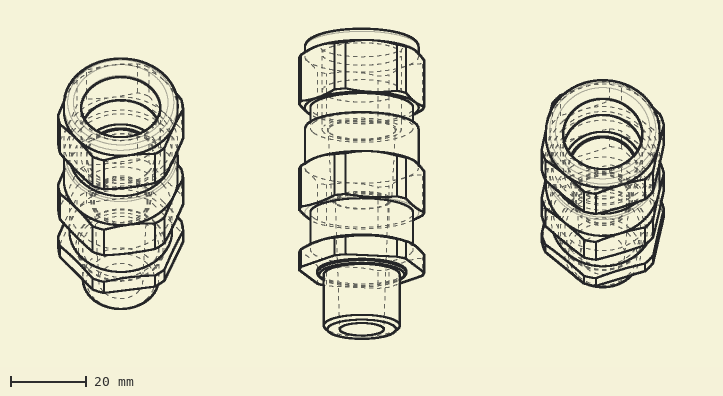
import cadquery as cq
import math

total_height = 78.4
across_flats = 30.0
across_corners = 33.0
flat_radius = across_flats / 2
corner_radius = across_corners / 2
corner_angle = 30
chamfer_angle = 30

thread_top = 15.0
body_hex_bottom = 15.9
body_hex_top = 22.0
middle_hex_bottom = 32.0
middle_hex_top = 44.5
sleeve_top = 55.35
cap_hex_bottom = 60.8
cap_hex_top = 75.0

thread_radius = 10.0
thread_chamfer = 1.0
washer_radius = 11.75
washer_chamfer = 0.55
neck_radius = 13.6
sleeve_edge_round = 0.5
cap_edge_round = 1.0

cap_bottom_chamfer_height = 0.6
middle_bottom_chamfer_height = 0.5
body_top_chamfer_drop = 1.25

bore_radius = 10.4
mouth_round = 2.0
ledge_height = 54.9
seat_height = 35.3
liner_top_radius = 8.85
liner_bottom_radius = 7.9
passage_top_radius = 7.0
passage_bottom_radius = 5.8
edge_chamfer = 0.2

joint_height = 65.5
lip_height = 75.6
bore_relief = 0.1


def cylinder(radius, bottom, top):
    """Upright cylinder on the axis between two levels."""
    return cq.Workplane("XY").workplane(offset=bottom).circle(radius).extrude(top - bottom)


def hexagon(bottom, top, bottom_start_radius, bottom_rise, top_start_radius, top_drop):
    """Hexagon with two corners on the Y axis, rounded to the corner circle.

    Each end cone begins at its start radius on the end face and meets the corner
    circle after its rise or drop; a zero rise leaves the bottom edge sharp.
    """
    prism = (
        cq.Workplane("XY")
        .workplane(offset=bottom)
        .polygon(6, across_flats / math.cos(math.radians(corner_angle)))
        .extrude(top - bottom)
        .rotate((0, 0, 0), (0, 0, 1), corner_angle)
    )
    envelope = cq.Workplane("XZ").moveTo(0, bottom).lineTo(bottom_start_radius, bottom)
    if bottom_rise > 0:
        envelope = envelope.lineTo(corner_radius, bottom + bottom_rise)
    envelope = (
        envelope.lineTo(corner_radius, top - top_drop)
        .lineTo(top_start_radius, top)
        .lineTo(0, top)
        .close()
        .revolve()
    )
    return prism.intersect(envelope)


def round_sections():
    """Thread, washer, necks, sleeve and cap rim stacked on the axis."""
    thread = cylinder(thread_radius, 0, thread_top).faces("<Z").chamfer(thread_chamfer)
    washer = cylinder(washer_radius, thread_top, body_hex_bottom).faces("<Z").chamfer(washer_chamfer)
    lower_neck = cylinder(neck_radius, body_hex_top, middle_hex_bottom)
    sleeve = cylinder(flat_radius, middle_hex_top, sleeve_top).faces(">Z").fillet(sleeve_edge_round)
    upper_neck = cylinder(neck_radius, sleeve_top, cap_hex_bottom)
    rim = cylinder(flat_radius, cap_hex_top, total_height).faces(">Z").fillet(cap_edge_round)
    return [thread, washer, lower_neck, sleeve, upper_neck, rim]


def hexagon_sections():
    """The body, middle and cap hexagons."""
    top_drop = (corner_radius - flat_radius) * math.tan(math.radians(chamfer_angle))
    body = hexagon(body_hex_bottom, body_hex_top, corner_radius, 0, neck_radius, body_top_chamfer_drop)
    middle = hexagon(
        middle_hex_bottom, middle_hex_top, flat_radius, middle_bottom_chamfer_height, flat_radius, top_drop
    )
    cap = hexagon(cap_hex_bottom, cap_hex_top, flat_radius, cap_bottom_chamfer_height, flat_radius, top_drop)
    return [body, middle, cap]


def bore():
    """Stepped passage: rounded mouth, ledge, tapered liner, seat and tapered outlet."""
    mouth_mid = mouth_round * (1 - math.sqrt(0.5))
    return (
        cq.Workplane("XZ")
        .moveTo(0, 0)
        .lineTo(passage_bottom_radius, 0)
        .lineTo(passage_top_radius, seat_height - edge_chamfer)
        .lineTo(passage_top_radius + edge_chamfer, seat_height)
        .lineTo(liner_bottom_radius - edge_chamfer, seat_height)
        .lineTo(liner_bottom_radius, seat_height + edge_chamfer)
        .lineTo(liner_top_radius, ledge_height - edge_chamfer)
        .lineTo(liner_top_radius + edge_chamfer, ledge_height)
        .lineTo(bore_radius, ledge_height)
        .lineTo(bore_radius, joint_height)
        .lineTo(bore_radius + bore_relief, joint_height)
        .lineTo(bore_radius + bore_relief, lip_height)
        .lineTo(bore_radius, lip_height)
        .lineTo(bore_radius, total_height - mouth_round)
        .threePointArc(
            (bore_radius + mouth_mid, total_height - mouth_mid),
            (bore_radius + mouth_round, total_height),
        )
        .lineTo(0, total_height)
        .close()
        .revolve()
    )


result = cq.Workplane("XY")
for section in round_sections() + hexagon_sections():
    result = result.union(section)
result = result.cut(bore())